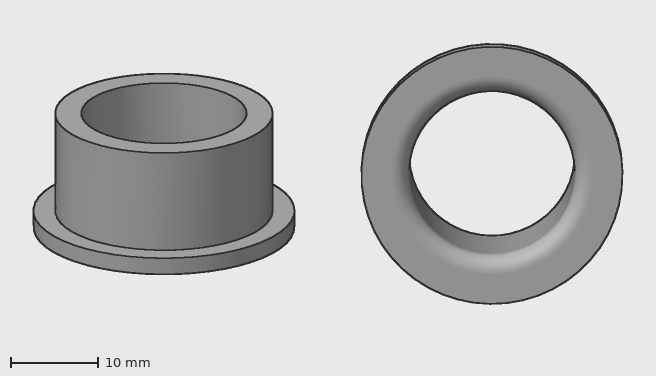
import cadquery as cq

flange_diameter = 30
flange_thickness = 2.0
sleeve_diameter = 25.0
bore_diameter = 19.0
total_height = 14.0

bore_lead_in_radius = flange_thickness

flange = cq.Workplane("XY").circle(flange_diameter / 2).extrude(flange_thickness)
sleeve = cq.Workplane("XY").circle(sleeve_diameter / 2).extrude(total_height)
bore = cq.Workplane("XY").circle(bore_diameter / 2).extrude(total_height)

bushing = flange.union(sleeve).cut(bore)

bore_mouth = cq.selectors.RadiusNthSelector(0)
result = bushing.faces("<Z").edges(bore_mouth).fillet(bore_lead_in_radius)